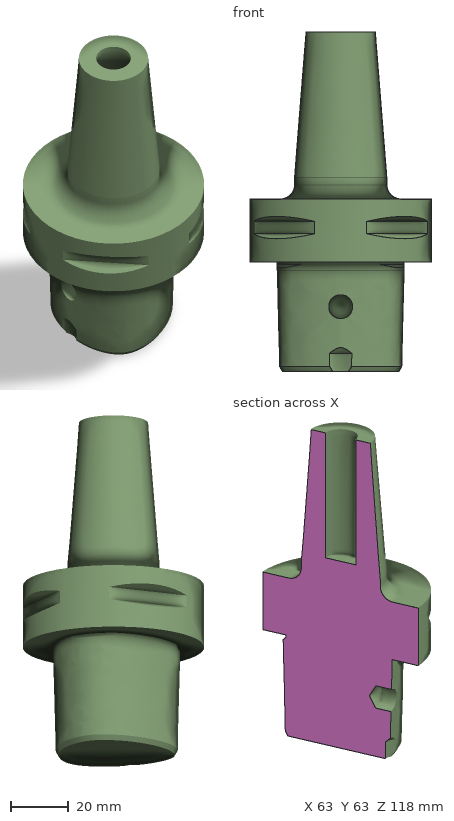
import cadquery as cq
import math


TOTAL_HEIGHT = 118.0
SHANK_LENGTH = 38.0
FLANGE_HEIGHT = 22.0
FLANGE_BASE = SHANK_LENGTH
FLANGE_TOP = FLANGE_BASE + FLANGE_HEIGHT

FLANGE_RADIUS = 31.5
NOSE_TIP_RADIUS = 12.0
NOSE_BASE_RADIUS = 16.0
NOSE_BAND_HEIGHT = 2.5
NOSE_FILLET = 5.0
BORE_RADIUS = 6.0
BORE_DEPTH = 47.2

SHANK_RADIUS = 22.1
LOBE_HEIGHT = 1.3
LOBE_COUNT = 3
SHANK_STRAIGHT = 2.8
SHANK_SIDE_SLOPE = 1 / 40
SHANK_CHAMFER_HEIGHT = 1.8
SHANK_CHAMFER_ANGLE = 30.0
OUTLINE_POINTS = 72

RELIEF_RADIUS = 22.3
RELIEF_STRAIGHT = 0.8

NOTCH_COUNT = 4
NOTCH_FIRST_ANGLE = 45.0
NOTCH_FLOOR_DISTANCE = 27.7
NOTCH_FLOOR_HEIGHT = 4.2
NOTCH_RIM_HEIGHT = 7.8
NOTCH_HEIGHT_ABOVE_BASE = 12.0

SIDE_HOLE_RADIUS = 4.1
SIDE_HOLE_DROP = 15.5
SIDE_HOLE_FLOOR = 14.2
SIDE_HOLE_POINT_ANGLE = 118.0

KEY_SLOT_RADIUS = 5.2
KEY_SLOT_AXIS_Y = -23.2
KEY_SLOT_HEIGHT = 6.3


def lobed_point(mean_radius, angle):
    """Point of the constant-width outline whose outward normal has the given angle."""
    reach = mean_radius - LOBE_HEIGHT * math.sin(LOBE_COUNT * angle)
    slide = -LOBE_COUNT * LOBE_HEIGHT * math.cos(LOBE_COUNT * angle)
    x = reach * math.cos(angle) - slide * math.sin(angle)
    y = reach * math.sin(angle) + slide * math.cos(angle)
    return x, y


def lobed_wire(mean_radius, z):
    start = -math.pi / 2
    step = 2 * math.pi / OUTLINE_POINTS
    points = [lobed_point(mean_radius, start + i * step) for i in range(OUTLINE_POINTS)]
    return cq.Workplane().workplane(offset=z).spline(points, periodic=True).wire().val()


def make_shank():
    taper_top = SHANK_LENGTH - SHANK_STRAIGHT
    taper_length = taper_top - SHANK_CHAMFER_HEIGHT
    small_radius = SHANK_RADIUS - taper_length * SHANK_SIDE_SLOPE
    chamfer_inset = SHANK_CHAMFER_HEIGHT * math.tan(math.radians(SHANK_CHAMFER_ANGLE))
    sections = [
        lobed_wire(small_radius - chamfer_inset, 0),
        lobed_wire(small_radius, SHANK_CHAMFER_HEIGHT),
        lobed_wire(SHANK_RADIUS, taper_top),
        lobed_wire(SHANK_RADIUS, SHANK_LENGTH),
    ]
    return cq.Workplane(cq.Solid.makeLoft(sections, True))


def make_lobe_relief():
    """Ring below the flange with a straight wall and a 45 degree lower face."""
    relief_width = FLANGE_RADIUS - RELIEF_RADIUS
    wall_bottom = FLANGE_BASE - RELIEF_STRAIGHT
    return (
        cq.Workplane("XZ")
        .moveTo(RELIEF_RADIUS, FLANGE_BASE)
        .lineTo(FLANGE_RADIUS, FLANGE_BASE)
        .lineTo(FLANGE_RADIUS, wall_bottom - relief_width)
        .lineTo(RELIEF_RADIUS, wall_bottom)
        .close()
        .revolve(360, (0, 0), (0, 1))
    )


def make_flange_and_nose():
    fillet_top = FLANGE_TOP + NOSE_FILLET
    band_top = fillet_top + NOSE_BAND_HEIGHT
    fillet_outer = NOSE_BASE_RADIUS + NOSE_FILLET
    fillet_offset = NOSE_FILLET * (1 - math.sqrt(0.5))
    return (
        cq.Workplane("XZ")
        .moveTo(0, FLANGE_BASE)
        .lineTo(FLANGE_RADIUS, FLANGE_BASE)
        .lineTo(FLANGE_RADIUS, FLANGE_TOP)
        .lineTo(fillet_outer, FLANGE_TOP)
        .threePointArc(
            (NOSE_BASE_RADIUS + fillet_offset, FLANGE_TOP + fillet_offset),
            (NOSE_BASE_RADIUS, fillet_top),
        )
        .lineTo(NOSE_BASE_RADIUS, band_top)
        .lineTo(NOSE_TIP_RADIUS, TOTAL_HEIGHT)
        .lineTo(0, TOTAL_HEIGHT)
        .close()
        .revolve(360, (0, 0), (0, 1))
    )


def make_bore():
    bore_floor = TOTAL_HEIGHT - BORE_DEPTH
    return cq.Workplane().workplane(offset=bore_floor).circle(BORE_RADIUS).extrude(BORE_DEPTH)


def make_notch(angle):
    """Flat-bottomed groove with flared walls, running across the rim at the given angle."""
    middle = FLANGE_BASE + NOTCH_HEIGHT_ABOVE_BASE
    return (
        cq.Workplane("XZ")
        .moveTo(NOTCH_FLOOR_DISTANCE, middle - NOTCH_FLOOR_HEIGHT / 2)
        .lineTo(FLANGE_RADIUS, middle - NOTCH_RIM_HEIGHT / 2)
        .lineTo(FLANGE_RADIUS, middle + NOTCH_RIM_HEIGHT / 2)
        .lineTo(NOTCH_FLOOR_DISTANCE, middle + NOTCH_FLOOR_HEIGHT / 2)
        .close()
        .extrude(FLANGE_RADIUS, both=True)
        .rotate((0, 0, 0), (0, 0, 1), angle)
    )


def make_drill(radius, length, tip_length):
    """Cylinder up from Z = 0 that ends in a conical tip."""
    return (
        cq.Workplane("XZ")
        .lineTo(radius, 0)
        .lineTo(radius, length)
        .lineTo(0, length + tip_length)
        .close()
        .revolve(360, (0, 0), (0, 1))
    )


def make_side_hole():
    tip_length = SIDE_HOLE_RADIUS / math.tan(math.radians(SIDE_HOLE_POINT_ANGLE / 2))
    length = FLANGE_RADIUS - SIDE_HOLE_FLOOR
    return (
        make_drill(SIDE_HOLE_RADIUS, length, tip_length)
        .rotate((0, 0, 0), (1, 0, 0), -90)
        .translate((0, -FLANGE_RADIUS, FLANGE_BASE - SIDE_HOLE_DROP))
    )


def make_key_slot():
    return make_drill(KEY_SLOT_RADIUS, KEY_SLOT_HEIGHT, KEY_SLOT_RADIUS).translate((0, KEY_SLOT_AXIS_Y, 0))


shank = make_shank().cut(make_lobe_relief()).cut(make_side_hole()).cut(make_key_slot())
result = make_flange_and_nose().union(shank).cut(make_bore())
for i in range(NOTCH_COUNT):
    result = result.cut(make_notch(NOTCH_FIRST_ANGLE + i * 360 / NOTCH_COUNT))